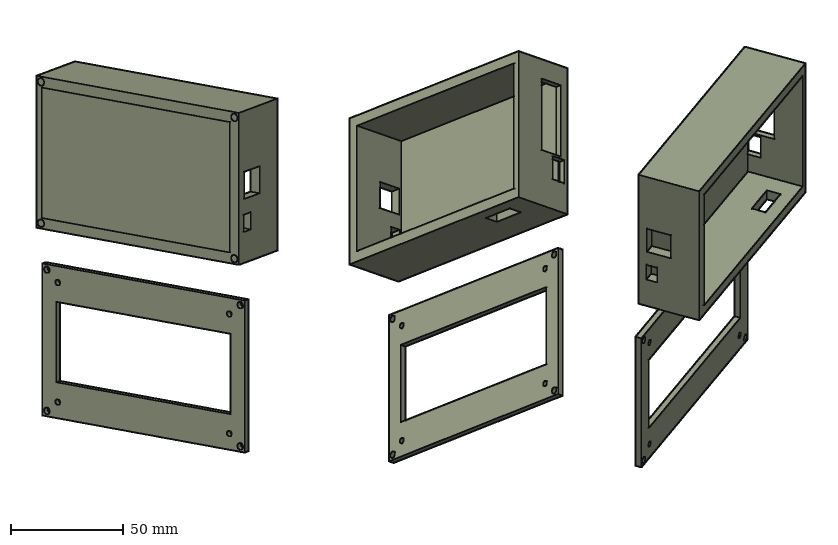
import cadquery as cq

WIDTH = 110.0
HEIGHT = 70.0
OVERALL_HEIGHT = 156.0
HOUSING_Z = OVERALL_HEIGHT - HEIGHT
PLATE_X = 3.1

DEPTH = 30.0
LEFT_WALL = 3.0
THICK_WALL = 5.0
CAVITY_WIDTH = WIDTH - LEFT_WALL - THICK_WALL
CAVITY_HEIGHT = HEIGHT - 2 * THICK_WALL

PANEL_THICKNESS = 3.0
PLATE_THICKNESS = 3.0

CORNER_INSET = 2.5
PIN_DIAMETER = 3.5
PIN_LENGTH = 10.0
SCREW_HOLE_DIAMETER = 3.0

LARGE_Y = (4.2, 15.9)
SMALL_Y = (2.0, 9.2)
SMALL_BOTTOM = 14.4
LEFT_OPENINGS = [
    (*LARGE_Y, 26.5, 60.7),
    (*SMALL_Y, SMALL_BOTTOM, 25.5),
]
RIGHT_OPENINGS = [
    (*LARGE_Y, 29.5, 42.0),
    (3.9, SMALL_Y[1], SMALL_BOTTOM, 22.3),
]

BOTTOM_OPENING_X = 12.5
BOTTOM_OPENING_LENGTH = 15.6
BOTTOM_OPENING_Y = 16.9
BOTTOM_OPENING_WIDTH = 6.7

WINDOW_WIDTH = 94.5
WINDOW_HEIGHT = 37.0
WINDOW_X = (WIDTH - WINDOW_WIDTH) / 2
WINDOW_Z = (HEIGHT - WINDOW_HEIGHT) / 2
DISPLAY_HOLE_DIAMETER = 2.5
DISPLAY_HOLE_INSET_X = 8.5
DISPLAY_HOLE_INSET_Z = 7.5


def block(x, y, z, length, depth, height):
    """Box with its lowest corner at (x, y, z)."""
    return cq.Workplane("XY").box(length, depth, height, centered=False).translate((x, y, z))


def rod(x, z, diameter, length):
    """Cylinder running from Y = 0 toward +Y."""
    return cq.Workplane("XZ", origin=(x, 0, z)).circle(diameter / 2).extrude(-length)


def corner_points(x, z, inset_x, inset_z):
    """Four points inset from the corners of the shared outline placed at (x, z)."""
    return [
        (x + across, z + up)
        for across in (inset_x, WIDTH - inset_x)
        for up in (inset_z, HEIGHT - inset_z)
    ]


PIN_POINTS = corner_points(0, HOUSING_Z, CORNER_INSET, CORNER_INSET)


def cut_side_openings(body, wall_x, wall_thickness, openings):
    for y_start, y_end, z_start, z_end in openings:
        opening = block(
            wall_x, y_start, HOUSING_Z + z_start,
            wall_thickness, y_end - y_start, z_end - z_start,
        )
        body = body.cut(opening)
    return body


def make_housing():
    body = block(0, 0, HOUSING_Z, WIDTH, DEPTH, HEIGHT)
    cavity = block(LEFT_WALL, 0, HOUSING_Z + THICK_WALL, CAVITY_WIDTH, DEPTH, CAVITY_HEIGHT)
    body = body.cut(cavity)
    body = cut_side_openings(body, 0, LEFT_WALL, LEFT_OPENINGS)
    body = cut_side_openings(body, WIDTH - THICK_WALL, THICK_WALL, RIGHT_OPENINGS)
    bottom_opening = block(
        BOTTOM_OPENING_X, BOTTOM_OPENING_Y, HOUSING_Z,
        BOTTOM_OPENING_LENGTH, BOTTOM_OPENING_WIDTH, THICK_WALL,
    )
    body = body.cut(bottom_opening)
    for x, z in PIN_POINTS:
        body = body.cut(rod(x, z, PIN_DIAMETER, PIN_LENGTH))
    return body


def make_panel():
    """Flush panel closing the front of the cavity."""
    return block(
        LEFT_WALL, 0, HOUSING_Z + THICK_WALL,
        CAVITY_WIDTH, PANEL_THICKNESS, CAVITY_HEIGHT,
    )


def make_pin(x, z):
    return rod(x, z, PIN_DIAMETER, PIN_LENGTH)


def make_plate():
    """Display plate with a window, corner screw holes and display mounting holes."""
    body = block(PLATE_X, 0, 0, WIDTH, PLATE_THICKNESS, HEIGHT)
    window = block(PLATE_X + WINDOW_X, 0, WINDOW_Z, WINDOW_WIDTH, PLATE_THICKNESS, WINDOW_HEIGHT)
    body = body.cut(window)
    for x, z in corner_points(PLATE_X, 0, CORNER_INSET, CORNER_INSET):
        body = body.cut(rod(x, z, SCREW_HOLE_DIAMETER, PLATE_THICKNESS))
    for x, z in corner_points(PLATE_X, 0, DISPLAY_HOLE_INSET_X, DISPLAY_HOLE_INSET_Z):
        body = body.cut(rod(x, z, DISPLAY_HOLE_DIAMETER, PLATE_THICKNESS))
    return body


housing = make_housing()
panel = make_panel()
plate = make_plate()
pins = [make_pin(x, z) for x, z in PIN_POINTS]

result = cq.Compound.makeCompound(
    [housing.val(), panel.val(), plate.val(), *[pin.val() for pin in pins]]
)